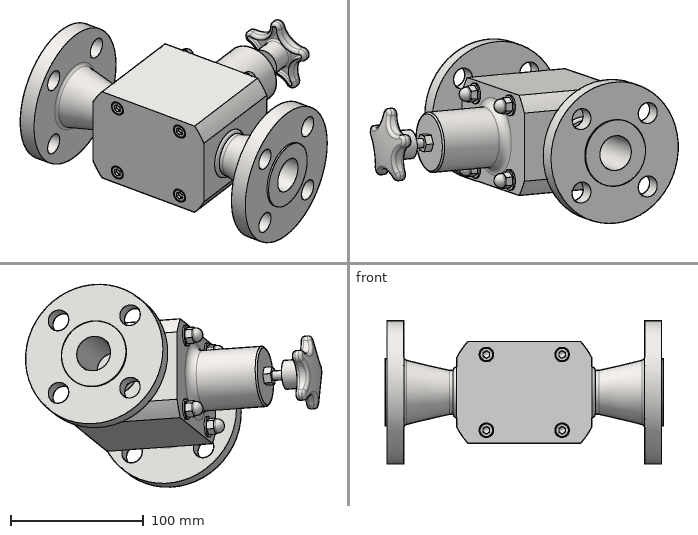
import cadquery as cq
import math

BODY_HALF_X = 51.0
BODY_HALF_Z = 38.4
BODY_CORNER_RADIUS = 57.3
BODY_FRONT_Y = -33.4
BODY_BACK_Y = 49.5

END_X = 105.0
RAISED_FACE_DIAMETER = 50.8
RAISED_FACE_HEIGHT = 1.5
FLANGE_DIAMETER = 108.0
FLANGE_THICKNESS = 12.8
PIPE_DIAMETER = 33.4
CONE_LARGE_DIAMETER = 49.5
CONE_SMALL_X = 56.5
PIPE_FILLET = 2.5
BORE_DIAMETER = 26.6
FLANGE_HOLE_DIAMETER = 16.0
FLANGE_HOLE_OFFSET = 28.1

BOLT_OFFSET = 28.5
COUNTERBORE_DIAMETER = 11.0
COUNTERBORE_DEPTH = 5.9
HEAD_DIAMETER = 9.5
SOCKET_FLATS = 5.0
SOCKET_DEPTH = 2.5
SOCKET_TIP_DEPTH = 1.3
WASHER_DIAMETER = 15.7
WASHER_THICKNESS = 1.3
NUT_FLATS = 11.0
NUT_TOP_Y = 56.2
NUT_CHAMFER = 0.31
DOME_BASE_Y = 57.5

BONNET_DIAMETER = 45.7
BONNET_ROOT_FILLET = 6.7
BONNET_END_Y = 103.9
BONNET_CHAMFER = 1.3
GLAND_CORNERS = 14.0
GLAND_END_Y = 110.0
STEM_DIAMETER = 7.3

HUB_DIAMETER = 22.0
HUB_START_Y = 119.5
WHEEL_START_Y = 132.5
WHEEL_END_Y = 144.3
LOBE_COUNT = 5
LOBE_DIAMETER = 9.5
LOBE_CENTER_RADIUS = 24.1
WAIST_RADIUS = 17.2
WHEEL_DOME_RADIUS = 94.5
WHEEL_FILLET = 2.7
WHEEL_RIM = 3.0
WHEEL_POCKET_DEPTH = 4.2
WHEEL_POCKET_FILLET = 1.5


def y_plane(y):
    """Sketch plane normal to +Y at the given height; local x is +X, local y is -Z."""
    return cq.Workplane(cq.Plane(origin=(0, y, 0), xDir=(1, 0, 0), normal=(0, 1, 0)))


def y_cylinder(diameter, start_y, end_y):
    return y_plane(start_y).circle(diameter / 2).extrude(end_y - start_y)


def bolt_positions():
    return [(sx * BOLT_OFFSET, sz * BOLT_OFFSET) for sx in (-1, 1) for sz in (-1, 1)]


def make_body():
    depth = BODY_BACK_Y - BODY_FRONT_Y
    block = y_plane(BODY_FRONT_Y).rect(2 * BODY_HALF_X, 2 * BODY_HALF_Z).extrude(depth)
    return block.intersect(y_cylinder(2 * BODY_CORNER_RADIUS, BODY_FRONT_Y, BODY_BACK_Y))


def make_connection():
    """Pipe stub, cone and bored flange on the -X side."""
    flange_front = -END_X + RAISED_FACE_HEIGHT
    flange_back = flange_front + FLANGE_THICKNESS
    pipe_radius = PIPE_DIAMETER / 2
    profile = (
        cq.Workplane("XY")
        .moveTo(-END_X, 0)
        .lineTo(-END_X, RAISED_FACE_DIAMETER / 2)
        .lineTo(flange_front, RAISED_FACE_DIAMETER / 2)
        .lineTo(flange_front, FLANGE_DIAMETER / 2)
        .lineTo(flange_back, FLANGE_DIAMETER / 2)
        .lineTo(flange_back, CONE_LARGE_DIAMETER / 2)
        .lineTo(-CONE_SMALL_X, pipe_radius)
        .lineTo(-BODY_HALF_X - PIPE_FILLET, pipe_radius)
        .radiusArc((-BODY_HALF_X, pipe_radius + PIPE_FILLET), PIPE_FILLET)
        .lineTo(-BODY_HALF_X, 0)
        .close()
    )
    connection = profile.revolve(360, (0, 0, 0), (1, 0, 0))
    margin = PIPE_FILLET / 2
    half_width = CONE_LARGE_DIAMETER / 2 + margin
    cone_root = cq.selectors.BoxSelector(
        (flange_back - margin, -half_width, -half_width),
        (flange_back + margin, half_width, half_width),
        boundingbox=True,
    )
    connection = connection.edges(cone_root).fillet(PIPE_FILLET)
    bore = cq.Workplane("YZ", origin=(-END_X, 0, 0)).circle(BORE_DIAMETER / 2).extrude(END_X - BODY_HALF_X)
    spacing = 2 * FLANGE_HOLE_OFFSET
    holes = (
        cq.Workplane("YZ", origin=(-END_X, 0, 0))
        .rect(spacing, spacing, forConstruction=True)
        .vertices()
        .circle(FLANGE_HOLE_DIAMETER / 2)
        .extrude(RAISED_FACE_HEIGHT + FLANGE_THICKNESS)
    )
    return connection.cut(bore).cut(holes)


def hexagon(y, flats, height):
    """Hexagonal prism along +Y with two corners on the Z axis."""
    corners = flats / math.cos(math.pi / 6)
    return y_plane(y).transformed(rotate=(0, 0, 30)).polygon(6, corners).extrude(height)


def make_screw_recess():
    """Ring gap around a flush screw head, with its cone-ended hexagonal socket."""
    gap = y_cylinder(COUNTERBORE_DIAMETER, BODY_FRONT_Y, BODY_FRONT_Y + COUNTERBORE_DEPTH)
    head = y_cylinder(HEAD_DIAMETER, BODY_FRONT_Y, BODY_FRONT_Y + COUNTERBORE_DEPTH)
    socket = hexagon(BODY_FRONT_Y, SOCKET_FLATS, SOCKET_DEPTH)
    tip_y = BODY_FRONT_Y + SOCKET_DEPTH
    tip = (
        cq.Workplane("XY")
        .moveTo(0, tip_y)
        .lineTo(SOCKET_FLATS / 2, tip_y)
        .lineTo(0, tip_y + SOCKET_TIP_DEPTH)
        .close()
        .revolve(360, (0, 0, 0), (0, 1, 0))
    )
    return gap.cut(head).union(socket).union(tip)


def make_cap_nut():
    nut = y_cylinder(WASHER_DIAMETER, BODY_BACK_Y, BODY_BACK_Y + WASHER_THICKNESS)
    nut_base_y = BODY_BACK_Y + WASHER_THICKNESS
    turned_blank = y_cylinder(NUT_FLATS / math.cos(math.pi / 6), nut_base_y, NUT_TOP_Y)
    turned_blank = turned_blank.faces("<Y or >Y").chamfer(NUT_CHAMFER)
    nut = nut.union(hexagon(nut_base_y, NUT_FLATS, NUT_TOP_Y - nut_base_y).intersect(turned_blank))
    nut = nut.union(y_cylinder(NUT_FLATS, BODY_BACK_Y, DOME_BASE_Y))
    dome = cq.Workplane("XY").sphere(NUT_FLATS / 2).translate((0, DOME_BASE_Y, 0))
    return nut.union(dome)


def make_bonnet():
    radius = BONNET_DIAMETER / 2
    root_radius = radius + BONNET_ROOT_FILLET
    barrel = (
        cq.Workplane("XY")
        .moveTo(0, BODY_BACK_Y)
        .lineTo(root_radius, BODY_BACK_Y)
        .radiusArc((radius, BODY_BACK_Y + BONNET_ROOT_FILLET), BONNET_ROOT_FILLET)
        .lineTo(radius, BONNET_END_Y - BONNET_CHAMFER)
        .lineTo(radius - BONNET_CHAMFER, BONNET_END_Y)
        .lineTo(0, BONNET_END_Y)
        .close()
        .revolve(360, (0, 0, 0), (0, 1, 0))
    )
    gland = y_plane(BONNET_END_Y).polygon(6, GLAND_CORNERS).extrude(GLAND_END_Y - BONNET_END_Y)
    stem = y_cylinder(STEM_DIAMETER, BONNET_END_Y, HUB_START_Y)
    return barrel.union(gland).union(stem)


def make_star(inset, start_y, height):
    """Prism of rounded lobes joined by tangent hollows, its outline set inwards by inset."""
    lobe_radius = LOBE_DIAMETER / 2 - inset
    waist_radius = WAIST_RADIUS - inset
    half_pitch = math.pi / LOBE_COUNT
    reach = lobe_radius - waist_radius
    hollow_center = (LOBE_CENTER_RADIUS**2 - reach**2) / (
        2 * (reach + LOBE_CENTER_RADIUS * math.cos(half_pitch))
    )
    hollow_radius = hollow_center - waist_radius

    def polar(radius, angle):
        return (radius * math.cos(angle), radius * math.sin(angle))

    def touch_point(lobe_angle, hollow_angle):
        lobe = polar(LOBE_CENTER_RADIUS, lobe_angle)
        hollow = polar(hollow_center, hollow_angle)
        share = lobe_radius / (lobe_radius + hollow_radius)
        return tuple(a + (b - a) * share for a, b in zip(lobe, hollow))

    first_angle = -math.pi / 2
    star = y_plane(start_y).moveTo(*touch_point(first_angle, first_angle - half_pitch))
    for index in range(LOBE_COUNT):
        lobe_angle = first_angle + 2 * half_pitch * index
        hollow_angle = lobe_angle + half_pitch
        next_angle = hollow_angle + half_pitch
        lobe_tip = polar(LOBE_CENTER_RADIUS + lobe_radius, lobe_angle)
        star = star.threePointArc(lobe_tip, touch_point(lobe_angle, hollow_angle))
        star = star.threePointArc(polar(waist_radius, hollow_angle), touch_point(next_angle, hollow_angle))
    return star.close().extrude(height)


def make_handwheel():
    """Domed star, hollowed underneath, on a round hub."""
    wheel = make_star(0, WHEEL_START_Y, 2 * (WHEEL_END_Y - WHEEL_START_Y))
    dome = cq.Workplane("XY").sphere(WHEEL_DOME_RADIUS).translate((0, WHEEL_END_Y - WHEEL_DOME_RADIUS, 0))
    wheel = wheel.intersect(dome).edges("not |Y").fillet(WHEEL_FILLET)
    pocket = make_star(WHEEL_RIM, WHEEL_START_Y, WHEEL_POCKET_DEPTH)
    pocket = pocket.cut(y_cylinder(HUB_DIAMETER, WHEEL_START_Y, WHEEL_START_Y + WHEEL_POCKET_DEPTH))
    pocket = pocket.faces(">Y").edges().fillet(WHEEL_POCKET_FILLET)
    return wheel.cut(pocket).union(y_cylinder(HUB_DIAMETER, HUB_START_Y, WHEEL_START_Y))


connection = make_connection()
result = make_body().union(connection).union(connection.mirror("YZ"))
recess = make_screw_recess()
cap_nut = make_cap_nut()
for x, z in bolt_positions():
    result = result.cut(recess.translate((x, 0, z)))
    result = result.union(cap_nut.translate((x, 0, z)))
result = result.union(make_bonnet()).union(make_handwheel())